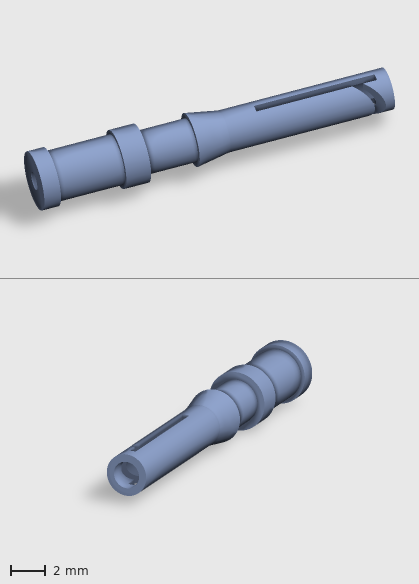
import cadquery as cq

total_length = 21.5

flange_diameter = 3.5
barrel_diameter = 3.0
neck_diameter = 2.6
tube_diameter = 2.5
cone_diameter = 3.2

flange_end = 1.0
barrel_end = 4.99
collar_end = 6.5
neck_end = 9.5
cone_end = 11.5

crimp_bore_diameter = 1.1
crimp_bore_end = barrel_end

socket_bore_diameter = 1.6

slot_width = 0.45
slot_start = 13.44
slot_end = 20.77

slant_angle = 45.0
slant_width = 0.47
slant_start = 19.37


def cylinder(diameter, start, end):
    """Cylinder on the Y axis; the XZ plane faces -Y, so the extrusion is negative."""
    base = cq.Workplane("XZ", origin=(0, start, 0))
    return base.circle(diameter / 2).extrude(start - end)


def turned_body():
    """Stepped outside of the contact, with a cone shoulder, revolved about Y."""
    half_outline = [
        (0, 0),
        (flange_diameter / 2, 0),
        (flange_diameter / 2, flange_end),
        (barrel_diameter / 2, flange_end),
        (barrel_diameter / 2, barrel_end),
        (flange_diameter / 2, barrel_end),
        (flange_diameter / 2, collar_end),
        (neck_diameter / 2, collar_end),
        (neck_diameter / 2, neck_end),
        (cone_diameter / 2, neck_end),
        (tube_diameter / 2, cone_end),
        (tube_diameter / 2, total_length),
        (0, total_length),
    ]
    profile = cq.Workplane("XY").polyline(half_outline).close()
    return profile.revolve(360, (0, 0, 0), (0, 1, 0))


def spring_slot():
    """Straight slot through the tube along Z."""
    slot = cq.Workplane("XY").box(slot_width, slot_end - slot_start, tube_diameter)
    return slot.translate((0, (slot_start + slot_end) / 2, 0))


def slanted_cut():
    """Cut from the slot out through the +X side, through the tube along Z."""
    cut = cq.Workplane("XY").box(
        tube_diameter, slant_width, tube_diameter, centered=(False, True, True)
    )
    return cut.rotate((0, 0, 0), (0, 0, 1), slant_angle).translate((0, slant_start, 0))


result = (
    turned_body()
    .cut(cylinder(crimp_bore_diameter, 0, crimp_bore_end))
    .cut(cylinder(socket_bore_diameter, slot_start, total_length))
    .cut(spring_slot())
    .cut(slanted_cut())
)